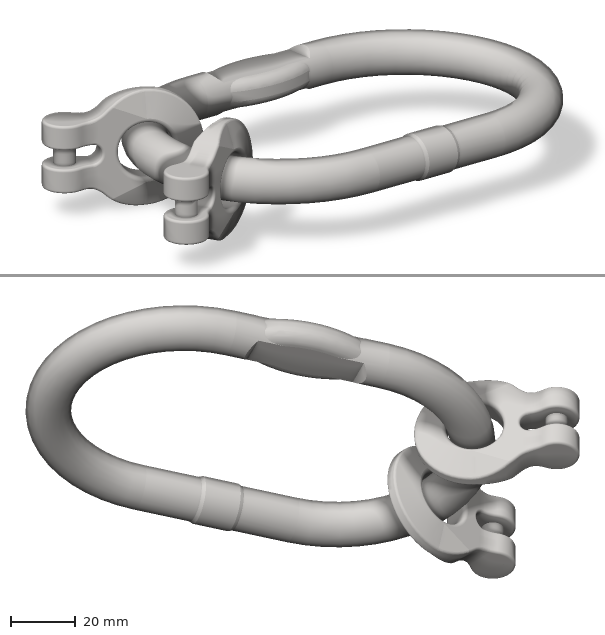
import cadquery as cq
import math

wire_diameter = 14.0
wire_radius = wire_diameter / 2
bend_radius = 41.9
half_straight = 50.1 / 2

collar_radius = 15.0 / 2
collar_half_length = 5.7
collar_half_foot = 6.9

grip_half_height = 9.5 / 2
flat_half_length = 17.3
grip_half_width = 10.0
grip_flat_half_width = 6.2
grip_band_half_height = 1.7
grip_outline_radius = 40.2

swing_angle = 25.0
pin_side = 29.6
pin_drop = 61.5
pin_diameter = 7.0
lug_radius = 14.0 / 2
fork_half_height = 22.1 / 2
slot_half_height = 3.2
slot_end = 11.0
eye_offset = 25.1
eye_radius = 38.0 / 2
eye_hole_radius = 18.0 / 2
plate_half_thickness = 4.4
neck_start = 9.5
shoulder_radius = 8.7
rim_half_thickness = 1.7
taper_start_radius = 10.4
taper_edge_x = 14.5
taper_edge_z = 14.9
cone_overrun = 1.7
edge_round = 0.8
hole_round = 1.3
tolerance = 0.02
overcut = 16.8


def make_wire():
    path = (
        cq.Workplane("XY")
        .moveTo(bend_radius, -half_straight)
        .lineTo(bend_radius, half_straight)
        .threePointArc((0, half_straight + bend_radius), (-bend_radius, half_straight))
        .lineTo(-bend_radius, -half_straight)
        .threePointArc((0, -half_straight - bend_radius), (bend_radius, -half_straight))
        .close()
    )
    section = cq.Workplane("XZ", origin=(bend_radius, -half_straight, 0)).circle(wire_radius)
    return section.sweep(path)


def make_collar():
    return (
        cq.Workplane("XY", origin=(bend_radius, 0, 0))
        .polyline([
            (0, -collar_half_foot),
            (wire_radius, -collar_half_foot),
            (collar_radius, -collar_half_length),
            (collar_radius, collar_half_length),
            (wire_radius, collar_half_foot),
            (0, collar_half_foot),
        ])
        .close()
        .revolve(360, (0, 0, 0), (0, 1, 0))
    )


def make_flat_cut():
    """Notch with 45 degree ends that flattens the top of the -X leg."""
    run_out = flat_half_length + overcut
    top = grip_half_height + overcut
    return (
        cq.Workplane("YZ", origin=(-bend_radius, 0, 0))
        .polyline([
            (-flat_half_length, grip_half_height),
            (flat_half_length, grip_half_height),
            (run_out, top),
            (-run_out, top),
        ])
        .close()
        .extrude(wire_diameter, both=True)
    )


def make_grip_disc(side):
    """Round-edged disc; the overlap of the two sides is the lens-shaped bulge."""
    axis_shift = grip_outline_radius - grip_half_width
    flat_radius = axis_shift + grip_flat_half_width
    rise = grip_half_height - grip_band_half_height
    run = grip_half_width - grip_flat_half_width
    round_radius = (rise**2 + run**2) / (2 * rise)
    half_turn = math.asin(run / round_radius) / 2
    mid_r = flat_radius + round_radius * math.sin(half_turn)
    mid_z = grip_half_height - round_radius * (1 - math.cos(half_turn))
    profile = (
        cq.Workplane("XZ")
        .moveTo(0, -grip_half_height)
        .lineTo(flat_radius, -grip_half_height)
        .threePointArc((mid_r, -mid_z), (grip_outline_radius, -grip_band_half_height))
        .lineTo(grip_outline_radius, grip_band_half_height)
        .threePointArc((mid_r, mid_z), (flat_radius, grip_half_height))
        .lineTo(0, grip_half_height)
        .close()
    )
    disc = profile.revolve(360, (0, 0, 0), (0, 1, 0))
    return disc.translate((-bend_radius + side * axis_shift, 0, 0))


def make_ring():
    flat_cut = make_flat_cut()
    bulge = make_grip_disc(1).intersect(make_grip_disc(-1))
    return (
        make_wire()
        .cut(flat_cut)
        .cut(flat_cut.mirror("XY"))
        .union(bulge)
        .union(make_collar())
    )


def make_link_side_shape():
    """Outline seen square to the plate: round eye blended into a parallel fork."""
    blend_z = fork_half_height + shoulder_radius
    reach = eye_radius + shoulder_radius
    blend_x = eye_offset - math.sqrt(reach**2 - blend_z**2)
    touch_x = eye_offset - (eye_offset - blend_x) * eye_radius / reach
    touch_z = blend_z * eye_radius / reach
    mid_angle = math.atan2(touch_z - blend_z, touch_x - blend_x) / 2 - math.pi / 4
    mid_x = blend_x + shoulder_radius * math.cos(mid_angle)
    mid_z = blend_z + shoulder_radius * math.sin(mid_angle)
    return (
        cq.Workplane("XZ")
        .moveTo(-lug_radius, -fork_half_height)
        .lineTo(blend_x, -fork_half_height)
        .threePointArc((mid_x, -mid_z), (touch_x, -touch_z))
        .threePointArc((eye_offset + eye_radius, 0), (touch_x, touch_z))
        .threePointArc((mid_x, mid_z), (blend_x, fork_half_height))
        .lineTo(-lug_radius, fork_half_height)
        .close()
        .extrude(lug_radius, both=True)
    )


def make_link_plan_shape():
    """Outline seen along the pin: flat plate swelling into the round lugs."""
    neck_radius = (neck_start**2 + plate_half_thickness**2 - lug_radius**2) / (
        2 * (lug_radius - plate_half_thickness)
    )
    neck_y = plate_half_thickness + neck_radius
    touch_scale = lug_radius / (lug_radius + neck_radius)
    touch_x = neck_start * touch_scale
    touch_y = neck_y * touch_scale
    mid_angle = (math.atan2(touch_y - neck_y, touch_x - neck_start) - math.pi / 2) / 2
    mid_x = neck_start + neck_radius * math.cos(mid_angle)
    mid_y = neck_y + neck_radius * math.sin(mid_angle)
    far_end = eye_offset + eye_radius
    return (
        cq.Workplane("XY")
        .moveTo(touch_x, touch_y)
        .threePointArc((-lug_radius, 0), (touch_x, -touch_y))
        .threePointArc((mid_x, -mid_y), (neck_start, -plate_half_thickness))
        .lineTo(far_end, -plate_half_thickness)
        .lineTo(far_end, plate_half_thickness)
        .lineTo(neck_start, plate_half_thickness)
        .threePointArc((mid_x, mid_y), (touch_x, touch_y))
        .close()
        .extrude(eye_radius, both=True)
    )


def make_cone_taper():
    """Half-turn cut that thins the +Y flank outward around the far half of the eye."""
    slope = (plate_half_thickness - rim_half_thickness) / (eye_radius - taper_start_radius)
    outer_radius = eye_radius + cone_overrun
    outer_y = rim_half_thickness - slope * cone_overrun
    return (
        cq.Workplane("YZ", origin=(eye_offset, 0, 0))
        .polyline([
            (plate_half_thickness, taper_start_radius),
            (outer_y, outer_radius),
            (plate_half_thickness, outer_radius),
        ])
        .close()
        .revolve(180, (0, 0, 0), (1, 0, 0))
    )


def make_facet_taper():
    """Plane cut that carries the taper of the +Y flank on from the cone towards the fork."""
    inner = cq.Vector(eye_offset, plate_half_thickness, taper_start_radius)
    rim = cq.Vector(eye_offset, rim_half_thickness, eye_radius)
    run_out = cq.Vector(taper_edge_x, plate_half_thickness, taper_edge_z)
    normal = (run_out - inner).cross(rim - inner)
    facet = cq.Plane(origin=inner.toTuple(), xDir=(run_out - inner).toTuple(), normal=normal.toTuple())
    above = cq.Workplane(facet).rect(4 * eye_radius, 4 * eye_radius).extrude(overcut)
    near_half = cq.Workplane("XY", origin=(eye_offset / 2, 0, eye_radius)).box(
        eye_offset, 2 * overcut, 2 * eye_radius
    )
    return above.intersect(near_half)


def make_slot():
    end_centre = slot_end - slot_half_height
    return (
        cq.Workplane("XZ")
        .moveTo(-overcut, -slot_half_height)
        .lineTo(end_centre, -slot_half_height)
        .threePointArc((slot_end, 0), (end_centre, slot_half_height))
        .lineTo(-overcut, slot_half_height)
        .close()
        .extrude(overcut, both=True)
    )


def round_edges(body, is_wanted, radius):
    return body.newObject([edge for edge in body.edges().vals() if is_wanted(edge)]).fillet(radius)


def round_outline(body):
    """Round the outer rim of the plate and lugs, leaving the taper creases sharp."""
    def is_outline(edge):
        on_crease = edge.geomType() == "CIRCLE" and abs(edge.radius() - taper_start_radius) < tolerance
        return edge.geomType() != "LINE" and not on_crease

    return round_edges(body, is_outline, edge_round)


def round_slot(body):
    def is_slot_edge(edge):
        middle = edge.positionAt(0.5)
        return (
            edge.geomType() != "LINE"
            and abs(middle.z) < slot_half_height + tolerance
            and middle.x < slot_end + tolerance
        )

    return round_edges(body, is_slot_edge, edge_round)


def round_eye_hole(body):
    def is_hole_edge(edge):
        return edge.geomType() == "CIRCLE" and abs(edge.radius() - eye_hole_radius) < tolerance

    return round_edges(body, is_hole_edge, hole_round)


def make_link():
    body = make_link_side_shape().intersect(make_link_plan_shape())
    cone = make_cone_taper()
    facet = make_facet_taper()
    for taper in (cone, facet, facet.mirror("XY")):
        body = body.cut(taper).cut(taper.mirror("XZ"))
    body = round_outline(body)
    body = round_slot(body.cut(make_slot()))
    eye_hole = cq.Workplane("XZ", origin=(eye_offset, 0, 0)).circle(eye_hole_radius)
    body = round_eye_hole(body.cut(eye_hole.extrude(overcut, both=True)))
    pin_hole = cq.Workplane("XY").circle(pin_diameter / 2)
    return body.cut(pin_hole.extrude(overcut, both=True))


def make_pin():
    bottom = cq.Workplane("XY", origin=(0, 0, -fork_half_height))
    return bottom.circle(pin_diameter / 2).extrude(2 * fork_half_height)


def place(body, side):
    """Swing a body from the link frame to its place on the lower bend."""
    turned = body.rotate((0, 0, 0), (0, 0, 1), 90 + side * swing_angle)
    return turned.translate((side * pin_side, -half_straight - pin_drop, 0))


ring = make_ring()
link = make_link()
pin = make_pin()
bodies = [ring.solids().val()]
for side in (-1, 1):
    bodies.append(place(link, side).solids().val())
    bodies.append(place(pin, side).solids().val())

result = cq.Compound.makeCompound(bodies)